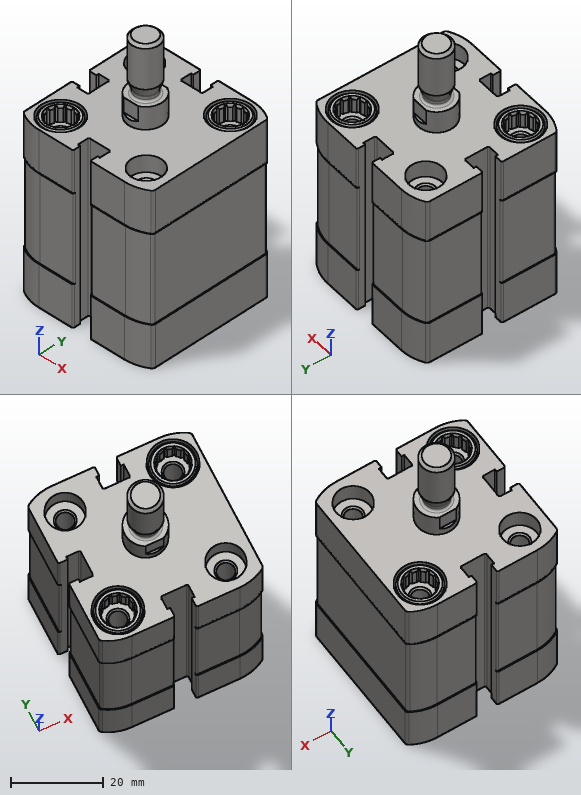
import cadquery as cq
import math


cap_width = 39.5
cap_height = 12.0
barrel_height = 25.0
barrel_inset = 0.25
housing_height = 2 * cap_height + barrel_height

corner_radius = 12.0
corner_centre_x = 13.0
edge_radius = 1.0

slot_mouth_width = 5.2
slot_width = 6.6
slot_depth = 5.6
slot_lip_depth = 2.3
slot_mouth_radius = 0.4
slot_floor_radius = 0.4
slot_angles = (90, 180, 270)

hole_offset = 13.0
bore_diameter = 4.13
bore_chamfer_diameter = 5.0
seat_depth = 4.7
counterbore_diameter = 9.0
counterbore_corners = ((-1, 1), (1, -1))
collar_corners = ((-1, -1), (1, 1))

groove_diameter = 11.5
collar_diameter = 10.5
collar_chamfer = 0.4
socket_diameter = 7.5
socket_point_diameter = 8.3
socket_mouth_diameter = 8.2
socket_mouth_depth = 0.8
socket_points = 12
squares_in_socket = socket_points // 4

rod_diameter = 10.0
rod_insertion = cap_height
shoulder_height = 6.3
flat_width = 9.0
flat_length = 4.15
flat_runout = 0.4
thread_diameter = 8.0
thread_stud_length = 16.0
tip_chamfer = 0.8
neck_diameter = 6.2
neck_fillet = 0.6
neck_length = 1.4
taper_angle = math.radians(20)

shoulder_z = housing_height + shoulder_height
seat_z = housing_height - seat_depth
tip_z = shoulder_z + thread_stud_length


def housing_outline(inset):
    """Closed profile: flat X and Y faces joined by large corner arcs."""
    half = cap_width / 2 - inset
    radius = corner_radius - inset
    centre_y = cap_width / 2 - corner_radius
    reach = half - corner_centre_x
    end_y = centre_y + math.sqrt(radius**2 - reach**2)
    mid_angle = (math.pi / 2 + math.atan2(end_y - centre_y, reach)) / 2
    mid_x = corner_centre_x + radius * math.cos(mid_angle)
    mid_y = centre_y + radius * math.sin(mid_angle)
    return (
        cq.Workplane("XY")
        .moveTo(-corner_centre_x, half)
        .lineTo(corner_centre_x, half)
        .threePointArc((mid_x, mid_y), (half, end_y))
        .lineTo(half, -end_y)
        .threePointArc((mid_x, -mid_y), (corner_centre_x, -half))
        .lineTo(-corner_centre_x, -half)
        .threePointArc((-mid_x, -mid_y), (-half, -end_y))
        .lineTo(-half, end_y)
        .threePointArc((-mid_x, mid_y), (-corner_centre_x, half))
        .close()
    )


def slot_cutter(inset, height):
    """Undercut slot in the +X face, with a rounded mouth."""
    face_x = cap_width / 2 - inset
    lip_x = cap_width / 2 - slot_lip_depth
    floor_x = cap_width / 2 - slot_depth
    half_mouth = slot_mouth_width / 2
    flared_mouth = half_mouth + slot_mouth_radius
    throat_x = face_x - slot_mouth_radius
    diagonal = slot_mouth_radius * math.sqrt(0.5)
    arc_x = throat_x + diagonal
    arc_y = flared_mouth - diagonal
    return (
        cq.Workplane("XY")
        .moveTo(floor_x, -slot_width / 2)
        .lineTo(lip_x, -slot_width / 2)
        .lineTo(lip_x, -half_mouth)
        .lineTo(throat_x, -half_mouth)
        .threePointArc((arc_x, -arc_y), (face_x, -flared_mouth))
        .lineTo(face_x, flared_mouth)
        .threePointArc((arc_x, arc_y), (throat_x, half_mouth))
        .lineTo(lip_x, half_mouth)
        .lineTo(lip_x, slot_width / 2)
        .lineTo(floor_x, slot_width / 2)
        .close()
        .extrude(height)
        .edges("|Z and <X")
        .fillet(slot_floor_radius)
    )


def housing_section(inset, bottom_z, height):
    """One length of slotted profile, used for the caps and the barrel."""
    section = housing_outline(inset).extrude(height)
    section = section.edges("|Z and (<X or >X)").fillet(edge_radius)
    for angle in slot_angles:
        cutter = slot_cutter(inset, height)
        section = section.cut(cutter.rotate((0, 0, 0), (0, 0, 1), angle))
    return section.translate((0, 0, bottom_z))


def cylinder(diameter, bottom_z, top_z):
    base = cq.Workplane("XY", origin=(0, 0, bottom_z))
    return base.circle(diameter / 2).extrude(top_z - bottom_z)


def cone(bottom_diameter, top_diameter, bottom_z, top_z):
    return (
        cq.Workplane("XY", origin=(0, 0, bottom_z))
        .circle(bottom_diameter / 2)
        .workplane(offset=top_z - bottom_z)
        .circle(top_diameter / 2)
        .loft()
    )


def bore_cutter():
    """Through bore with a 45 degree chamfer at the seat."""
    chamfer_height = (bore_chamfer_diameter - bore_diameter) / 2
    chamfer = cone(bore_diameter, bore_chamfer_diameter, seat_z - chamfer_height, seat_z)
    return cylinder(bore_diameter, 0, seat_z).union(chamfer)


def collar_ring_cutter():
    """Groove around the collar, including the collar's outer chamfer."""
    collar = cylinder(collar_diameter, seat_z, housing_height)
    collar = collar.faces(">Z").chamfer(collar_chamfer)
    return cylinder(groove_diameter, seat_z, housing_height).cut(collar)


def socket_cutter():
    """Twelve-point socket: a round bore and turned squares, with a conical mouth."""
    socket = cylinder(socket_diameter, seat_z, housing_height)
    square_side = socket_point_diameter / math.sqrt(2)
    diagonal_turn = 45
    pitch = 360 / socket_points
    for index in range(squares_in_socket):
        square = (
            cq.Workplane("XY", origin=(0, 0, seat_z))
            .transformed(rotate=(0, 0, diagonal_turn + index * pitch))
            .rect(square_side, square_side)
            .extrude(seat_depth)
        )
        socket = socket.union(square)
    mouth_z = housing_height - socket_mouth_depth
    return socket.union(cone(socket_diameter, socket_mouth_diameter, mouth_z, housing_height))


def make_housing():
    barrel_z = cap_height
    top_cap_z = cap_height + barrel_height
    body = housing_section(0, 0, cap_height)
    body = body.union(housing_section(barrel_inset, barrel_z, barrel_height))
    body = body.union(housing_section(0, top_cap_z, cap_height))

    body = body.cut(cylinder(rod_diameter, housing_height - rod_insertion, housing_height))

    counterbore = cylinder(counterbore_diameter, seat_z, housing_height)
    corner_cutters = (
        (counterbore_corners, (bore_cutter(), counterbore)),
        (collar_corners, (bore_cutter(), collar_ring_cutter(), socket_cutter())),
    )
    for corners, cutters in corner_cutters:
        for side_x, side_y in corners:
            for cutter in cutters:
                body = body.cut(cutter.translate((side_x * hole_offset, side_y * hole_offset, 0)))
    return body


def blend_point(neck_radius, neck_top_z, angle):
    """Point on the fillet from the neck to the taper, turned by angle from the neck."""
    return (
        neck_radius + neck_fillet * (1 - math.cos(angle)),
        neck_top_z + neck_fillet * math.sin(angle),
    )


def make_rod():
    rod_radius = rod_diameter / 2
    thread_radius = thread_diameter / 2
    neck_radius = neck_diameter / 2
    neck_top_z = shoulder_z + neck_length
    blend_end = blend_point(neck_radius, neck_top_z, taper_angle)
    taper_length = (thread_radius - blend_end[0]) / math.tan(taper_angle)
    blend_middle = blend_point(neck_radius, neck_top_z, taper_angle / 2)
    fillet_step = neck_fillet * (1 - math.sqrt(0.5))
    rod = (
        cq.Workplane("XZ")
        .moveTo(0, housing_height - rod_insertion)
        .lineTo(rod_radius, housing_height - rod_insertion)
        .lineTo(rod_radius, shoulder_z)
        .lineTo(neck_radius + neck_fillet, shoulder_z)
        .threePointArc(
            (neck_radius + fillet_step, shoulder_z + fillet_step),
            (neck_radius, shoulder_z + neck_fillet),
        )
        .lineTo(neck_radius, neck_top_z)
        .threePointArc(blend_middle, blend_end)
        .lineTo(thread_radius, blend_end[1] + taper_length)
        .lineTo(thread_radius, tip_z - tip_chamfer)
        .lineTo(thread_radius - tip_chamfer, tip_z)
        .lineTo(0, tip_z)
        .close()
        .revolve(360, (0, 0, 0), (0, 1, 0))
    )
    flat_y = flat_width / 2
    flat_z = shoulder_z - flat_length
    flat_cutter = (
        cq.Workplane("YZ")
        .moveTo(flat_y, shoulder_z)
        .lineTo(flat_y, flat_z)
        .lineTo(rod_radius, flat_z - flat_runout)
        .lineTo(rod_radius, shoulder_z)
        .close()
        .extrude(rod_radius, both=True)
    )
    return rod.cut(flat_cutter).cut(flat_cutter.mirror("XZ"))


housing = make_housing()
rod = make_rod()

result = cq.Compound.makeCompound([housing.val(), rod.val()])